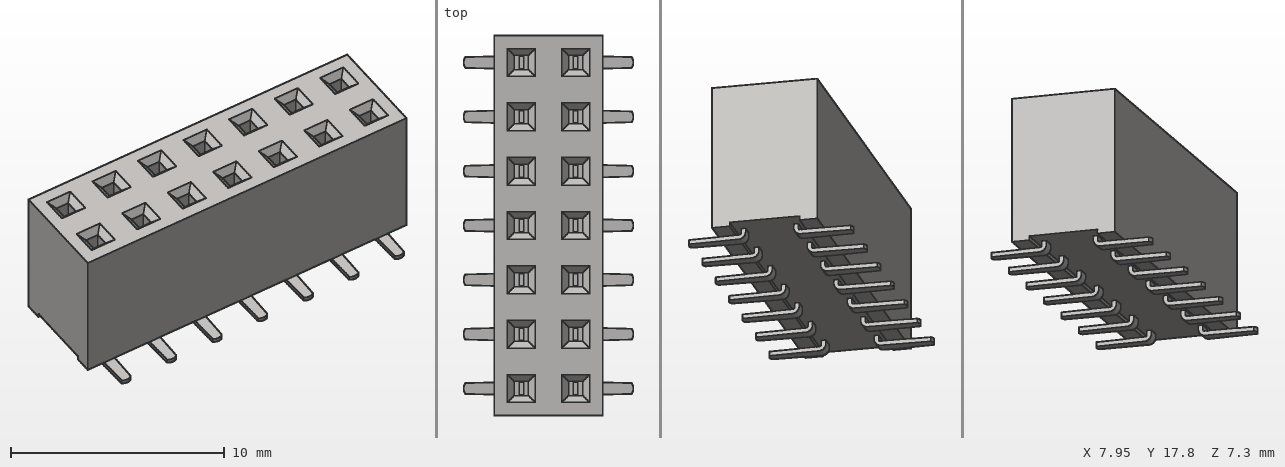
import cadquery as cq

positions = 7
length = 17.78
pitch = length / positions
width = 2 * pitch
top_z = 7.3
foot_z = 0.32
channel_z = 0.52
foot_width = 0.85

mouth_size = 1.3
hole_size = 0.65
mouth_depth = (mouth_size - hole_size) / 2
floor_z = 1.78

row_x = pitch / 2
lead_thickness = 0.21
lead_width = 0.64
tip_width = 0.52
tip_bulge = 0.09
lead_span = 7.95
lead_reach = lead_span / 2
bend_outer_radius = 0.32

blade_width = 0.57
blade_height = 0.35

row_ys = [(i - (positions - 1) / 2) * pitch for i in range(positions)]


def make_housing():
    """Block standing on two long feet, with a channel between them."""
    block = cq.Workplane("XY").workplane(offset=foot_z).rect(width, length).extrude(top_z - foot_z)
    channel = (
        cq.Workplane("XY").workplane(offset=foot_z)
        .rect(width - 2 * foot_width, length)
        .extrude(channel_z - foot_z)
    )
    return block.cut(channel)


def make_socket():
    """Cavity of one right-row socket at y = 0."""
    mouth = (
        cq.Workplane("XY", origin=(row_x, 0, top_z))
        .rect(mouth_size, mouth_size)
        .workplane(offset=-mouth_depth)
        .rect(hole_size, hole_size)
        .loft(ruled=True)
    )
    hole = (
        cq.Workplane("XY", origin=(row_x, 0, floor_z))
        .rect(hole_size, hole_size)
        .extrude(top_z - mouth_depth - floor_z)
    )
    return mouth.union(hole)


def make_lead():
    """One right-row lead at y = 0: a bent strip with a tapered, rounded tip and a blade on top."""
    inner_x = row_x - lead_thickness / 2
    outer_x = row_x + lead_thickness / 2
    bend_x = inner_x + bend_outer_radius
    strip = (
        cq.Workplane("XZ")
        .moveTo(inner_x, floor_z)
        .lineTo(inner_x, bend_outer_radius)
        .radiusArc((bend_x, 0), -bend_outer_radius)
        .lineTo(lead_reach, 0)
        .lineTo(lead_reach, lead_thickness)
        .lineTo(bend_x, lead_thickness)
        .radiusArc((outer_x, bend_outer_radius), bend_outer_radius - lead_thickness)
        .lineTo(outer_x, floor_z)
        .close()
        .extrude(lead_width / 2, both=True)
    )
    tip_x = lead_reach - tip_bulge
    plan = (
        cq.Workplane("XY")
        .moveTo(inner_x, -lead_width / 2)
        .lineTo(bend_x, -lead_width / 2)
        .lineTo(tip_x, -tip_width / 2)
        .threePointArc((lead_reach, 0), (tip_x, tip_width / 2))
        .lineTo(bend_x, lead_width / 2)
        .lineTo(inner_x, lead_width / 2)
        .close()
        .extrude(floor_z)
    )
    blade = (
        cq.Workplane("XY", origin=(row_x, 0, floor_z))
        .rect(lead_thickness, blade_width)
        .extrude(blade_height)
    )
    return strip.intersect(plan).union(blade)


def in_both_rows(shape):
    """Solids of the shape repeated along Y in the right row and mirrored to the left row."""
    mirrored = shape.mirror("YZ")
    copies = cq.Workplane("XY")
    for y in row_ys:
        for side in (shape, mirrored):
            copies = copies.add(side.translate((0, y, 0)))
    return copies


result = make_housing()
for socket in in_both_rows(make_socket()).vals():
    result = result.cut(cq.Workplane(socket))
for lead in in_both_rows(make_lead()).vals():
    result = result.union(cq.Workplane(lead))